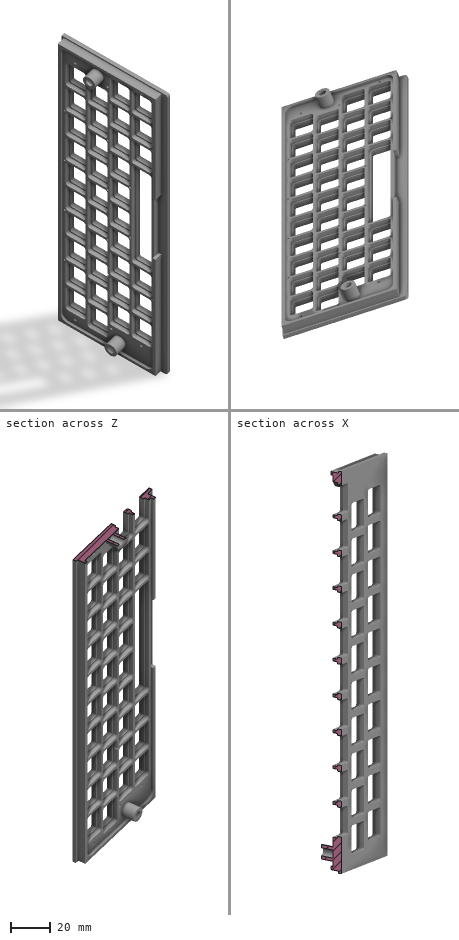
import cadquery as cq

length = 213.5
width = 67.9
flange_thickness = 2.1
flange_corner_radius = 2.0
total_depth = 13.0

body_depth = 7.0
left_lip = 1.3
right_lip = 4.0
end_lip = 1.0
body_left = -width / 2 + left_lip
body_right = width / 2 - right_lip
body_length = length - 2 * end_lip

rim = 2.0
pocket_depth = 1.5
pocket_corner_radius = 4.3
pocket_left = body_left + rim
pocket_right = body_right - rim
pocket_length = body_length - 2 * rim
floor_y = pocket_depth - body_depth

gap_length = 45.7
gap_center_z = 6.0

row_pitch = 19.0
row_count = 10
column_pitch = 14.0
first_column_x = -22.5
top_row_z = [83.9, 80.0, 91.5, 91.5]
window_width = 10.7
window_height = 15.4
ledge = 0.95
recess_depth = 2.5
opening_corner_radius = 1.0
recess_corner_radius = 1.5
long_key_row = 3
long_key_rows = 4

boss_diameter = 8.0
boss_bore = 4.0
boss_z = 97.0
upper_boss_depth = 12.5

rib_hole_diameter = 1.3
corner_hole_diameter = 1.5
pin_hole_depth = 2.1
corner_holes = [
    (-22.6, 96.0),
    (-2.0, 92.2),
    (20.0, 101.8),
    (-22.6, -99.9),
    (0.5, -91.0),
    (19.6, -91.0),
]
left_hole_x = -29.5
second_gap_x = -2.0
third_gap_x = 12.4
lower_gap_x = -1.5
right_hole_x = 26.5


def block(x_min, x_max, z_center, height, y_front, y_back):
    """Box given by its X range, Z centre and height, and Y range."""
    return cq.Workplane("XY").box(x_max - x_min, y_back - y_front, height).translate(
        ((x_min + x_max) / 2, (y_front + y_back) / 2, z_center)
    )


def cylinder(x, z, diameter, y_front, y_back):
    """Cylinder along Y."""
    return (
        cq.Workplane("XZ", origin=(0, y_back, 0))
        .center(x, z)
        .circle(diameter / 2)
        .extrude(y_back - y_front)
    )


def column_x(column):
    return first_column_x + column * column_pitch


def row_z(column, row):
    """Z of a row; a half row lies on the rib between two windows."""
    return top_row_z[column] - row * row_pitch


def window(row_span):
    """Stepped window spanning one or more rows, centred on the origin in X and Z."""
    height = window_height + (row_span - 1) * row_pitch
    half = window_width / 2
    opening = block(-half, half, 0, height, -body_depth, 0)
    recess_half = half + ledge
    recess_height = height + 2 * ledge
    recess = block(-recess_half, recess_half, 0, recess_height, -body_depth, floor_y + recess_depth)
    opening = opening.edges("|Y").fillet(opening_corner_radius)
    return opening.union(recess.edges("|Y").fillet(recess_corner_radius)).val()


def cut_all(body, shapes):
    """Remove a list of shapes from the body in one operation."""
    return body.cut(cq.Workplane(cq.Compound.makeCompound(shapes)))


flange = block(-width / 2, width / 2, 0, length, -flange_thickness, 0)
flange = flange.edges("|Y and >X").fillet(flange_corner_radius)
plate = flange.union(block(body_left, body_right, 0, body_length, -body_depth, 0))

pocket = block(pocket_left, pocket_right, 0, pocket_length, -body_depth, floor_y)
plate = plate.cut(pocket.edges("|Y").fillet(pocket_corner_radius))
plate = plate.cut(
    block(pocket_right, body_right, gap_center_z, gap_length, -body_depth, -flange_thickness)
)

last_column = len(top_row_z) - 1
key_window = window(1)
windows = []
for column in range(len(top_row_z)):
    for row in range(row_count):
        in_long_key = long_key_row <= row < long_key_row + long_key_rows
        if column == last_column and in_long_key:
            continue
        windows.append(key_window.translate(cq.Vector(column_x(column), 0, row_z(column, row))))
long_key_z = row_z(last_column, long_key_row + (long_key_rows - 1) / 2)
windows.append(window(long_key_rows).translate(cq.Vector(column_x(last_column), 0, long_key_z)))
plate = cut_all(plate, windows)

for x, z, depth in [
    (column_x(1), boss_z, upper_boss_depth),
    (column_x(2), -boss_z, total_depth),
]:
    plate = plate.union(cylinder(x, z, boss_diameter, -depth, floor_y))
    plate = plate.cut(cylinder(x, z, boss_bore, -depth, floor_y))

rib_holes = [(left_hole_x, row_z(0, row)) for row in (1.5, 3.5, 5.5, 7.5)]
rib_holes += [(second_gap_x, row_z(1, row)) for row in (1.5, 3.5, 5.5)]
rib_holes += [(third_gap_x, row_z(2, row)) for row in (3.5, 5.5)]
rib_holes += [(lower_gap_x, row_z(2, 7.5))]
rib_holes += [(right_hole_x, row_z(3, row)) for row in (1.5, 7.5)]
pin_holes = []
for holes, diameter in [(rib_holes, rib_hole_diameter), (corner_holes, corner_hole_diameter)]:
    for x, z in holes:
        pin_holes.append(cylinder(x, z, diameter, floor_y, floor_y + pin_hole_depth).val())
plate = cut_all(plate, pin_holes)

result = plate